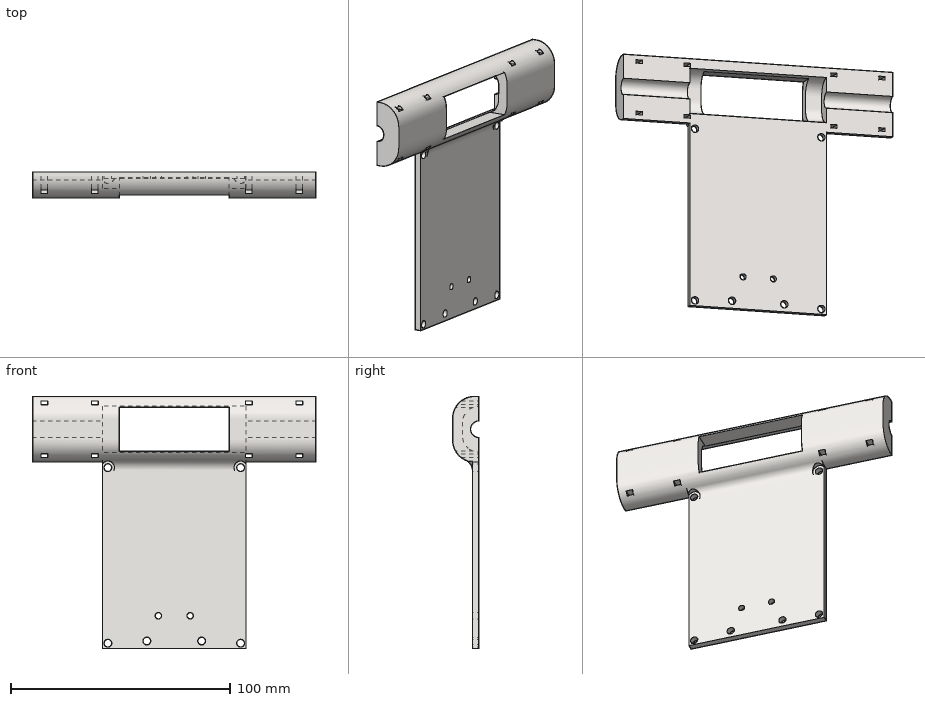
import cadquery as cq
import math

BAR_LENGTH = 129.0
BAR_HEIGHT = 30.0
BAR_DEPTH = 12.0
EDGE_RADIUS = 10.0
GROOVE_RADIUS = 3.75

WINDOW_WIDTH = 50.0
WINDOW_HEIGHT = 20.0

CAVITY_RADIUS = 7.5
CAVITY_HEIGHT = 21.0

SLOT_WIDTH = 3.0
SLOT_HEIGHT = 1.6
SLOT_PITCH = 23.0
FIRST_SLOTS_X = (-59.2, 34.0)
SLOT_OFFSET = 12.0

PLATE_WIDTH = 65.5
PLATE_THICKNESS = 3.0
PLATE_DROP = 85.0
FILLET_RADIUS = 5.0
BAR_OVERLAP = 5.0

SCREW_DIAMETER = 3.4
SEAT_DIAMETER = 6.0
SCREW_INSET = 2.5
SCREW_X = PLATE_WIDTH / 2 - SCREW_INSET
LOWER_SCREW_X = 12.5
LOWER_SCREW_INSET = 3.5
PILOT_DIAMETER = 2.8
PILOT_X = 7.25
PILOT_INSET = 15.0

BAR_BOTTOM = -BAR_HEIGHT / 2
PLATE_BOTTOM = BAR_BOTTOM - PLATE_DROP
ARC_CENTER_Y = EDGE_RADIUS - BAR_DEPTH
ARC_CENTER_Z = BAR_BOTTOM + EDGE_RADIUS


def block(width, depth, height, bottom):
    """Box centred on X, running from the back face towards -Y and up from `bottom`."""
    return cq.Workplane("XY").box(width, depth, height, centered=(True, False, False)).translate(
        (0, -depth, bottom)
    )


def cross_drill(points, diameter, front, back):
    """Round cutters along Y through the given (x, z) points."""
    return (
        cq.Workplane("XZ", origin=(0, back, 0))
        .pushPoints(points)
        .circle(diameter / 2)
        .extrude(back - front)
    )


def make_bar():
    bar = block(BAR_LENGTH, BAR_DEPTH, BAR_HEIGHT, BAR_BOTTOM)
    bar = bar.faces("<Y").edges("|X").fillet(EDGE_RADIUS)
    groove = cq.Workplane("YZ").circle(GROOVE_RADIUS).extrude(BAR_LENGTH / 2, both=True)
    return bar.cut(groove)


def make_cavity():
    """Cutter for the hollow behind the window, as wide as the plate and open at the back."""
    return (
        cq.Workplane("YZ")
        .slot2D(CAVITY_HEIGHT, 2 * CAVITY_RADIUS, 90)
        .extrude(PLATE_WIDTH / 2, both=True)
    )


def make_root_fillet():
    """Concave web, tangent to the plate front and to the bar's lower rounding."""
    reach = EDGE_RADIUS + FILLET_RADIUS
    center_y = -PLATE_THICKNESS - FILLET_RADIUS
    offset_y = center_y - ARC_CENTER_Y
    offset_z = -math.sqrt(reach**2 - offset_y**2)
    center_z = ARC_CENTER_Z + offset_z
    share = EDGE_RADIUS / reach
    bar_touch = (ARC_CENTER_Y + share * offset_y, ARC_CENTER_Z + share * offset_z)
    diagonal = FILLET_RADIUS * math.sin(math.pi / 4)
    middle = (center_y + diagonal, center_z + diagonal)
    return (
        cq.Workplane("YZ")
        .moveTo(-PLATE_THICKNESS, center_z)
        .threePointArc(middle, bar_touch)
        .lineTo(ARC_CENTER_Y, BAR_BOTTOM + BAR_OVERLAP)
        .lineTo(ARC_CENTER_Y, center_z)
        .close()
        .extrude(PLATE_WIDTH / 2, both=True)
    )


def mirrored(x, z):
    """Pair of (x, z) points either side of the middle of the part."""
    return [(-x, z), (x, z)]


top_screws = mirrored(SCREW_X, BAR_BOTTOM - SCREW_INSET)
screws = (
    top_screws
    + mirrored(SCREW_X, PLATE_BOTTOM + SCREW_INSET)
    + mirrored(LOWER_SCREW_X, PLATE_BOTTOM + LOWER_SCREW_INSET)
)
pilots = mirrored(PILOT_X, PLATE_BOTTOM + PILOT_INSET)
slots = [
    (x, z)
    for first_x in FIRST_SLOTS_X
    for x in (first_x, first_x + SLOT_PITCH)
    for z in (-SLOT_OFFSET, SLOT_OFFSET)
]

plate = block(PLATE_WIDTH, PLATE_THICKNESS, PLATE_DROP + BAR_OVERLAP, PLATE_BOTTOM)
window = block(WINDOW_WIDTH, BAR_DEPTH, WINDOW_HEIGHT, -WINDOW_HEIGHT / 2)
slot_cutters = cq.Workplane("XZ").pushPoints(slots).rect(SLOT_WIDTH, SLOT_HEIGHT).extrude(BAR_DEPTH)

result = (
    make_bar()
    .union(plate)
    .union(make_root_fillet())
    .cut(make_cavity())
    .cut(window)
    .cut(slot_cutters)
    .cut(cross_drill(top_screws, SEAT_DIAMETER, -BAR_DEPTH, -PLATE_THICKNESS))
    .cut(cross_drill(screws, SCREW_DIAMETER, -BAR_DEPTH, 0))
    .cut(cross_drill(pilots, PILOT_DIAMETER, -BAR_DEPTH, 0))
)